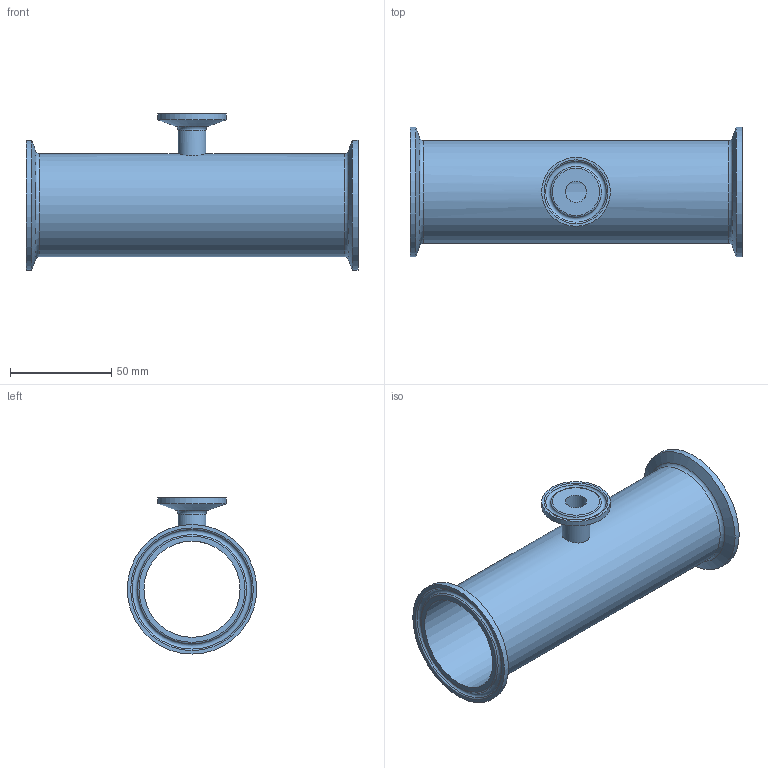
import cadquery as cq
import math

tube_length = 164.0
tube_outer_diameter = 50.8
tube_bore_diameter = 47.5
tube_flange_diameter = 64.0
tube_groove_diameter = 56.5

branch_outer_diameter = 13.8
branch_bore_diameter = 10.5
branch_flange_diameter = 34.0
branch_groove_diameter = 27.5
branch_face_height = 45.1

rim_thickness = 2.85
cone_angle = math.radians(20)
neck_fillet_radius = 2.0

groove_radius = 1.3
groove_depth = 1.6
groove_lip_radius = 0.8


def point_on_circle(center, radius, angle):
    """Point on a circle, with the angle measured from the radial direction."""
    return (center[0] + radius * math.cos(angle), center[1] + radius * math.sin(angle))


def flange_blank(flange_diameter, outer_diameter):
    """Solid flange with its face on the XY plane, narrowing along -Z to the tube diameter."""
    flange_radius = flange_diameter / 2
    outer_radius = outer_diameter / 2
    cone_drop = (flange_radius - outer_radius) * math.tan(cone_angle)
    cone_root = -rim_thickness - cone_drop

    turn_angle = math.pi / 2 - cone_angle
    tangent_length = neck_fillet_radius * math.tan(turn_angle / 2)
    fillet_center = (outer_radius + neck_fillet_radius, cone_root - tangent_length)
    fillet_start = point_on_circle(fillet_center, neck_fillet_radius, math.pi - turn_angle)
    fillet_middle = point_on_circle(fillet_center, neck_fillet_radius, math.pi - turn_angle / 2)
    fillet_end = (outer_radius, fillet_center[1])

    profile = (
        cq.Workplane("XZ")
        .moveTo(0, 0)
        .lineTo(flange_radius, 0)
        .lineTo(flange_radius, -rim_thickness)
        .lineTo(*fillet_start)
        .threePointArc(fillet_middle, fillet_end)
        .lineTo(0, fillet_end[1])
        .close()
    )
    return profile.revolve(360, (0, 0, 0), (0, 1, 0))


def gasket_groove(groove_diameter):
    """Ring to cut from a flange face: a round channel flared by its rounded lips."""
    middle_radius = groove_diameter / 2
    channel_center = (middle_radius, groove_radius - groove_depth)

    lip_height = channel_center[1] + groove_lip_radius
    center_distance = groove_radius + groove_lip_radius
    lip_offset = math.sqrt(center_distance**2 - lip_height**2)
    lip_angle = math.atan2(lip_height, lip_offset)
    lip_middle_angle = (math.pi / 2 + lip_angle) / 2

    outer_lip_center = (middle_radius + lip_offset, -groove_lip_radius)
    inner_lip_center = (middle_radius - lip_offset, -groove_lip_radius)
    outer_tangent = point_on_circle(channel_center, groove_radius, -lip_angle)
    inner_tangent = point_on_circle(channel_center, groove_radius, lip_angle - math.pi)
    outer_lip_middle = point_on_circle(outer_lip_center, groove_lip_radius, math.pi - lip_middle_angle)
    inner_lip_middle = point_on_circle(inner_lip_center, groove_lip_radius, lip_middle_angle)

    profile = (
        cq.Workplane("XZ")
        .moveTo(inner_lip_center[0], 0)
        .threePointArc(inner_lip_middle, inner_tangent)
        .threePointArc((middle_radius, -groove_depth), outer_tangent)
        .threePointArc(outer_lip_middle, (outer_lip_center[0], 0))
        .close()
    )
    return profile.revolve(360, (0, 0, 0), (0, 1, 0))


def clamp_flange(flange_diameter, outer_diameter, groove_diameter):
    """Solid clamp flange with its gasket groove, face on the XY plane."""
    return flange_blank(flange_diameter, outer_diameter).cut(gasket_groove(groove_diameter))


def main_tube():
    """Solid main tube with a clamp flange at each end."""
    half_length = tube_length / 2
    flange = clamp_flange(tube_flange_diameter, tube_outer_diameter, tube_groove_diameter)
    right_flange = flange.rotate((0, 0, 0), (0, 1, 0), 90).translate((half_length, 0, 0))
    left_flange = right_flange.mirror("YZ")
    barrel_half_length = half_length - rim_thickness
    barrel = cq.Workplane("YZ").circle(tube_outer_diameter / 2).extrude(barrel_half_length, both=True)
    return barrel.union(right_flange).union(left_flange)


def branch_tube():
    """Solid branch tube with its clamp flange, reaching down to the main tube axis."""
    flange = clamp_flange(branch_flange_diameter, branch_outer_diameter, branch_groove_diameter)
    barrel_height = branch_face_height - rim_thickness
    barrel = cq.Workplane("XY").circle(branch_outer_diameter / 2).extrude(barrel_height)
    return barrel.union(flange.translate((0, 0, branch_face_height)))


tube_bore = cq.Workplane("YZ").circle(tube_bore_diameter / 2).extrude(tube_length / 2, both=True)
branch_bore = cq.Workplane("XY").circle(branch_bore_diameter / 2).extrude(branch_face_height)

result = main_tube().union(branch_tube()).cut(tube_bore).cut(branch_bore)